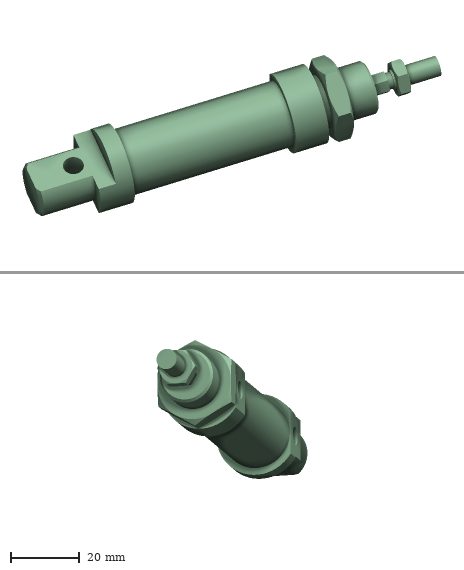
import cadquery as cq
import math


TANG_LENGTH = 17.0
REAR_CAP_LENGTH = 10.6
TUBE_LENGTH = 50.1
FRONT_CAP_LENGTH = 10.1
NOSE_LENGTH = 17.1
ROD_HEX_LENGTH = 5.0
ROD_NECK_LENGTH = 1.6
OVERALL_LENGTH = 126.0

REAR_CAP_START = TANG_LENGTH
TUBE_START = REAR_CAP_START + REAR_CAP_LENGTH
FRONT_CAP_START = TUBE_START + TUBE_LENGTH
NOSE_START = FRONT_CAP_START + FRONT_CAP_LENGTH
ROD_START = NOSE_START + NOSE_LENGTH
ROD_NECK_START = ROD_START + ROD_HEX_LENGTH
ROD_THREAD_START = ROD_NECK_START + ROD_NECK_LENGTH

CAP_DIAMETER = 24.1
CAP_FLAT_WIDTH = 12.6
CAP_FLAT_X = -math.sqrt((CAP_DIAMETER / 2) ** 2 - (CAP_FLAT_WIDTH / 2) ** 2)
TUBE_DIAMETER = 20.0
NOSE_DIAMETER = 16.0
NOSE_CHAMFER = 0.8
TANG_CHAMFER = 1.0
TANG_THICKNESS = 12.0
TANG_SHOULDER_LENGTH = 5.3
PIVOT_HOLE_DIAMETER = 6.0
PIVOT_HOLE_Y = 13.1

PORT_DIAMETER = 4.0
PORT_MOUTH_DIAMETER = 5.3
PORT_DEPTH = 4.4
FRONT_PORT_Y = FRONT_CAP_START + FRONT_CAP_LENGTH / 2
REAR_PORT_Y = 22.7

ROD_DIAMETER = 6.0
ROD_NECK_DIAMETER = 5.0
ROD_HEX_FLATS = 5.9

HALF_SECTOR = math.radians(30)
CORNERS_ALONG_X = 0
CORNERS_ALONG_Z = 90

NUT_CHAMFER_ANGLE = 30
MOUNTING_NUT_FLATS = 22.0
MOUNTING_NUT_THICKNESS = 5.7
MOUNTING_NUT_GAP = 2.4
ROD_NUT_FLATS = 10.0
ROD_NUT_THICKNESS = 3.7
ROD_NUT_GAP = 0.6


def cylinder(diameter, start, length):
    """Cylinder on the Y axis from Y = start, running toward +Y."""
    radius = diameter / 2
    return cq.Workplane(cq.Solid.makeCylinder(radius, length, cq.Vector(0, start, 0), cq.Vector(0, 1, 0)))


def hex_prism(flats, start, length, corner_angle):
    """Hexagonal prism on the Y axis; corner_angle turns a corner away from X."""
    corner_diameter = flats / math.cos(HALF_SECTOR)
    prism = cq.Workplane("XZ", origin=(0, start, 0)).polygon(6, corner_diameter).extrude(-length)
    return prism.rotate((0, 0, 0), (0, 1, 0), corner_angle)


def hex_nut(flats, bore, start, thickness, corner_angle):
    """Hex nut with conical chamfers that cut the corners on both faces."""
    corner_radius = flats / 2 / math.cos(HALF_SECTOR)
    face_radius = flats / 2
    chamfer_depth = (corner_radius - face_radius) * math.tan(math.radians(NUT_CHAMFER_ANGLE))
    end = start + thickness
    envelope = (
        cq.Workplane("XY")
        .moveTo(0, start)
        .lineTo(face_radius, start)
        .lineTo(corner_radius, start + chamfer_depth)
        .lineTo(corner_radius, end - chamfer_depth)
        .lineTo(face_radius, end)
        .lineTo(0, end)
        .close()
        .revolve(360, (0, 0, 0), (0, 1, 0))
    )
    blank = hex_prism(flats, start, thickness, corner_angle).intersect(envelope)
    return blank.cut(cylinder(bore, start, thickness))


def end_cap(start, length):
    """Round cap with one flat on its -X side."""
    beyond_flat = cq.Workplane("XY").box(CAP_DIAMETER, length, CAP_DIAMETER, centered=(False, False, True))
    return cylinder(CAP_DIAMETER, start, length).intersect(beyond_flat.translate((CAP_FLAT_X, start, 0)))


def air_port(y):
    """Blind port drilled into a cap flat, with a 45 degree countersunk mouth."""
    mouth_depth = (PORT_MOUTH_DIAMETER - PORT_DIAMETER) / 2
    mouth = cq.Vector(CAP_FLAT_X, y, 0)
    inward = cq.Vector(1, 0, 0)
    drill = cq.Solid.makeCylinder(PORT_DIAMETER / 2, PORT_DEPTH, mouth, inward)
    countersink = cq.Solid.makeCone(PORT_MOUTH_DIAMETER / 2, PORT_DIAMETER / 2, mouth_depth, mouth, inward)
    return cq.Workplane(drill).union(cq.Workplane(countersink))


def tang_flats():
    """Material above and below the flat tang, removed back into the rear cap."""
    length = TANG_LENGTH + TANG_SHOULDER_LENGTH
    block = cq.Workplane("XY").box(2 * CAP_DIAMETER, length, CAP_DIAMETER, centered=(True, False, False))
    upper = block.translate((0, 0, TANG_THICKNESS / 2))
    return upper.union(upper.mirror("XY"))


def make_housing():
    """Tube, both end caps, threaded nose and rear pivot tang as one solid."""
    tang = cylinder(NOSE_DIAMETER, 0, TANG_LENGTH).faces("<Y").chamfer(TANG_CHAMFER)
    nose = cylinder(NOSE_DIAMETER, NOSE_START, NOSE_LENGTH).faces(">Y").chamfer(NOSE_CHAMFER)
    body = (
        tang.union(end_cap(REAR_CAP_START, REAR_CAP_LENGTH))
        .union(cylinder(TUBE_DIAMETER, TUBE_START, TUBE_LENGTH))
        .union(end_cap(FRONT_CAP_START, FRONT_CAP_LENGTH))
        .union(nose)
        .cut(tang_flats())
    )
    for port_y in (REAR_PORT_Y, FRONT_PORT_Y):
        body = body.cut(air_port(port_y))
    pivot_hole = cq.Workplane("XY").center(0, PIVOT_HOLE_Y).circle(PIVOT_HOLE_DIAMETER / 2)
    return body.cut(pivot_hole.extrude(TANG_THICKNESS, both=True))


def make_rod():
    """Piston rod end: wrench hexagon, undercut neck and threaded tip."""
    hexagon = hex_prism(ROD_HEX_FLATS, ROD_START, ROD_HEX_LENGTH, CORNERS_ALONG_X)
    neck = cylinder(ROD_NECK_DIAMETER, ROD_NECK_START, ROD_NECK_LENGTH)
    thread = cylinder(ROD_DIAMETER, ROD_THREAD_START, OVERALL_LENGTH - ROD_THREAD_START)
    return hexagon.union(neck).union(thread)


housing = make_housing()
rod = make_rod()
mounting_nut = hex_nut(
    MOUNTING_NUT_FLATS,
    NOSE_DIAMETER,
    NOSE_START + MOUNTING_NUT_GAP,
    MOUNTING_NUT_THICKNESS,
    CORNERS_ALONG_Z,
)
rod_nut = hex_nut(
    ROD_NUT_FLATS,
    ROD_DIAMETER,
    ROD_THREAD_START + ROD_NUT_GAP,
    ROD_NUT_THICKNESS,
    CORNERS_ALONG_X,
)

result = cq.Compound.makeCompound([housing.val(), rod.val(), mounting_nut.val(), rod_nut.val()])